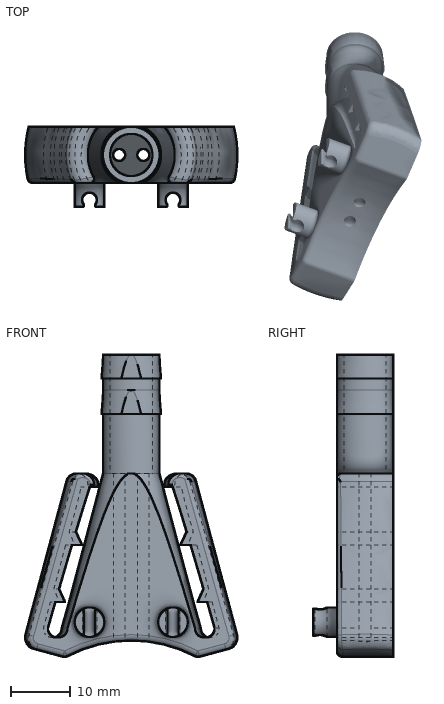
import cadquery as cq
import math

top_z = 50.85
shoulder_z = 30.85

tube_radius = 9.5 / 2
bore_radius = 7.1 / 2
barb_radius = 5.05
barb_height = 4.0
barb_pitch = 6.0
half_depth = tube_radius

passage_diameter = 2.0
passage_x = 2.05

cone_slope = math.tan(math.radians(15))
slot_width = 3.05
wing_offset = 5.8
tip_radius = 1.85
slot_top_z = 28.6
slot_end_z = 4.85
tooth_tip_heights = (18.8, 9.2)
tooth_height = 2.25
tooth_depth = 1.55

rough_floor_z = 26.75
rough_core_radius = 6.6
gap_radius = 6.85

notch_x = 11.1
notch_crown_z = 2.75
point_radius = 1.05
corner_radius = 2.05
front_fillet = 1.0
tip_fillet = 0.7

post_radius = 5.0 / 2
post_x = 7.0
post_z = 5.85
post_length = 3.95
post_root = 0.5
clip_radius = 1.2
clip_mouth = 1.85
lip_radius = 0.25
clip_y = -7.6

margin = 5.1


def core_radius(z):
    return tube_radius + (shoulder_z - z) * cone_slope


def revolve_profile(profile):
    return profile.close().revolve(360, (0, 0, 0), (0, 1, 0))


def slab(profile):
    """Extrude an XZ outline through the flat body depth."""
    return profile.close().extrude(half_depth, both=True)


def lower_outline():
    """Body outline with the arched lower edge and its two rounded points."""
    arch_radius = (notch_x**2 + notch_crown_z**2) / (2 * notch_crown_z)
    arch_angle = math.asin(notch_x / arch_radius)
    edge_angle = math.atan(cone_slope)
    half_angle = (arch_angle + edge_angle) / 2
    tilt = (arch_angle - edge_angle) / 2
    point_z = point_radius * (1 - math.cos(tilt) / math.cos(half_angle))
    side_x = 2 * notch_x
    side_z = point_z + (side_x - notch_x) * cone_slope
    outline = slab(
        cq.Workplane("XZ")
        .moveTo(-notch_x, point_z)
        .threePointArc((0, notch_crown_z), (notch_x, point_z))
        .lineTo(side_x, side_z)
        .lineTo(side_x, top_z)
        .lineTo(-side_x, top_z)
        .lineTo(-side_x, side_z)
    )
    return outline.edges("|Y").edges("<Z").fillet(point_radius)


def tip_profile():
    """Radial profile of the core and wing, the upper core left oversize for the slot cut."""
    tilt = math.atan(cone_slope)
    center_z = shoulder_z - tip_radius
    center = core_radius(center_z) + wing_offset - tip_radius / math.cos(tilt)
    inner = center - tip_radius
    return (
        cq.Workplane("YZ")
        .moveTo(0, -margin)
        .lineTo(core_radius(-margin) + wing_offset, -margin)
        .lineTo(center + tip_radius * math.cos(tilt), center_z + tip_radius * math.sin(tilt))
        .threePointArc((center, shoulder_z), (inner, center_z))
        .lineTo(inner, rough_floor_z)
        .lineTo(rough_core_radius, rough_floor_z)
        .lineTo(rough_core_radius, shoulder_z)
        .lineTo(0, shoulder_z)
    )


def trim_flat(solid):
    """Cut a turned solid flat on the front and back."""
    return solid.intersect(cq.Workplane("XY").box(2 * top_z, 2 * half_depth, 2 * top_z))


def wing_tips():
    """Turned core and wing with the front rims of the wing rounded."""
    turned = trim_flat(revolve_profile(tip_profile()))
    rims = [
        edge for edge in turned.faces("<Y").edges().vals()
        if abs(edge.Center().x) > tube_radius
        and edge.BoundingBox().zlen > tip_radius / 2
    ]
    return turned.newObject(rims).fillet(tip_fillet)


def wing_blank():
    """Filled cone of the wing surface, cut to the lower edge and the tips."""
    blank = revolve_profile(
        cq.Workplane("YZ")
        .moveTo(0, -margin)
        .lineTo(core_radius(-margin) + wing_offset, -margin)
        .lineTo(core_radius(shoulder_z + margin) + wing_offset, shoulder_z + margin)
        .lineTo(0, shoulder_z + margin)
    ).intersect(lower_outline())
    side_corners = [
        edge for edge in blank.edges().vals()
        if abs(edge.Center().x) > notch_x + tip_radius
        and edge.Center().z < slot_end_z
        and edge.BoundingBox().ylen > half_depth
    ]
    blank = blank.newObject(side_corners).fillet(corner_radius)
    blank = blank.faces("<Y").edges("not(>Z)").fillet(front_fillet)
    return blank.intersect(wing_tips())


def slot_void():
    """Conical slot with a rounded lower end and two rings of ratchet teeth."""
    def wall(z):
        return core_radius(z) + slot_width

    half_width = slot_width / 2
    end_center = core_radius(slot_end_z) + half_width
    profile = (
        cq.Workplane("YZ")
        .moveTo(core_radius(shoulder_z), shoulder_z)
        .lineTo(gap_radius, shoulder_z)
        .lineTo(gap_radius, slot_top_z)
        .lineTo(wall(slot_top_z), slot_top_z)
    )
    for z in tooth_tip_heights:
        profile = (
            profile.lineTo(wall(z + tooth_height), z + tooth_height)
            .lineTo(wall(z) - tooth_depth, z)
            .lineTo(wall(z), z)
        )
    profile = (
        profile.lineTo(wall(slot_end_z), slot_end_z)
        .threePointArc(
            (end_center + half_width * cone_slope, slot_end_z - half_width),
            (core_radius(slot_end_z), slot_end_z),
        )
    )
    return revolve_profile(profile)


def stem():
    """Barbed tube, with the barbs trimmed flat front and back."""
    profile = cq.Workplane("YZ").moveTo(0, top_z).lineTo(tube_radius, top_z)
    for barb_top in (top_z, top_z - barb_pitch):
        barb_bottom = barb_top - barb_height
        if barb_top < top_z:
            profile = profile.lineTo(tube_radius, barb_top)
        profile = profile.lineTo(barb_radius, barb_bottom).lineTo(tube_radius, barb_bottom)
    profile = profile.lineTo(tube_radius, shoulder_z).lineTo(0, shoulder_z)
    return trim_flat(revolve_profile(profile))


def clip_post(x):
    """Round post with a vertical snap-in groove open at its end."""
    end_y = -half_depth - post_length
    post = (
        cq.Workplane("XZ", origin=(x, -half_depth + post_root, post_z))
        .circle(post_radius)
        .extrude(post_length + post_root)
    )
    groove = (
        cq.Workplane("XY", origin=(x, clip_y, post_z))
        .circle(clip_radius)
        .extrude(post_radius, both=True)
    )
    mouth = cq.Workplane("XY").box(clip_mouth, clip_y - end_y, 2 * post_radius)
    post = post.cut(groove).cut(mouth.translate((x, (clip_y + end_y) / 2, post_z)))
    return post.faces("<Y").edges("|Z").fillet(lip_radius)


def bore():
    """Tube bore ending at the shoulder, with two passages below it."""
    hole = (
        cq.Workplane("XY", origin=(0, 0, shoulder_z))
        .circle(bore_radius)
        .extrude(top_z - shoulder_z)
    )
    passages = (
        cq.Workplane("XY")
        .pushPoints([(-passage_x, 0), (passage_x, 0)])
        .circle(passage_diameter / 2)
        .extrude(shoulder_z)
    )
    return hole.union(passages)


body = wing_blank().cut(slot_void()).union(stem()).cut(bore())
for side in (-1, 1):
    body = body.union(clip_post(side * post_x))
result = body